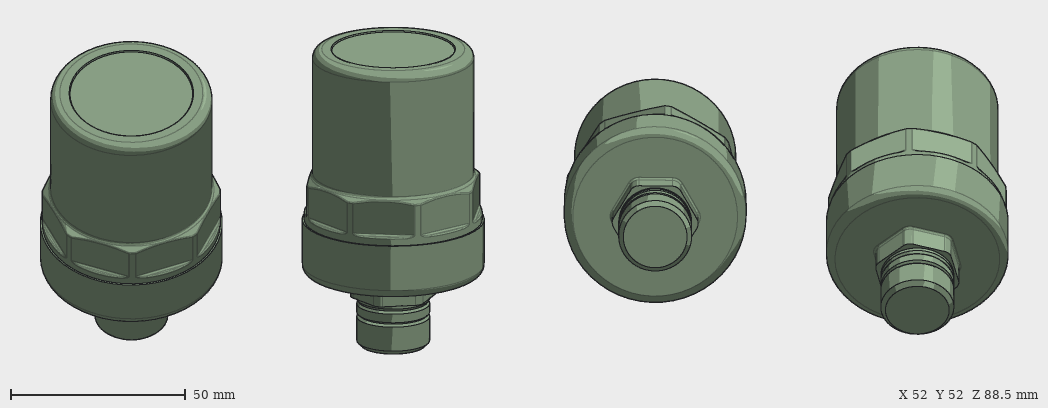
import cadquery as cq
import math

total_height = 88.5
flange_radius = 26.0

stem_radius = 10.4
stem_chamfer = 1.3
lower_groove_bottom = 8.5
lower_groove_height = 1.3
lower_groove_depth = 0.8
upper_groove_bottom = 12.4
upper_groove_height = 1.5
upper_groove_depth = 0.5

hexagon_sides = 6
hexagon_bottom = 15.0
hexagon_across_flats = 22.0
hexagon_corner_radius = 2.8
hexagon_root_fillet = 0.6

flange_bottom = 21.9
flange_top = 37.6
flange_fillet = 2.5

collar_radius = 25.5
nut_across_flats = 47.8
flat_count = 8
flat_bottom = 40.0
flat_root_fillet = 0.5
nut_edge_fillet = 0.4
nut_corner_top = 49.6

cap_radius = 23.1
cap_root_fillet = 1.1
cap_fillet = 2.65
recess_rim_radius = 17.8
recess_floor_radius = 17.5
recess_depth = 0.35

nut_chamfer_angle = math.radians(30)
nut_top = nut_corner_top + (collar_radius - cap_radius) * math.tan(nut_chamfer_angle)

tolerance = 0.01


def cylinder(radius, bottom, top):
    return cq.Workplane("XY").workplane(offset=bottom).circle(radius).extrude(top - bottom)


def fillet_level_edges(body, height, limit, radius):
    """Fillet the edges at one height that lie inside a square of half-width limit around the Z axis."""
    selection = cq.selectors.BoxSelector(
        (-limit, -limit, height - tolerance),
        (limit, limit, height + tolerance),
        boundingbox=True,
    )
    return body.edges(selection).fillet(radius)


def v_groove(bottom, height, depth):
    """Ring with a triangular section that cuts a V groove around the stem."""
    section = [
        (stem_radius, bottom),
        (stem_radius - depth, bottom + height / 2),
        (stem_radius, bottom + height),
    ]
    return cq.Workplane("XZ").polyline(section).close().revolve(360, (0, 0, 0), (0, 1, 0))


def make_stem():
    stem = cylinder(stem_radius, 0, flange_bottom).faces("<Z").chamfer(stem_chamfer)
    stem = stem.cut(v_groove(lower_groove_bottom, lower_groove_height, lower_groove_depth))
    return stem.cut(v_groove(upper_groove_bottom, upper_groove_height, upper_groove_depth))


def make_flange_with_hexagon():
    flange = cylinder(flange_radius, flange_bottom, flange_top).faces("<Z").edges().fillet(flange_fillet)
    hexagon = (
        cq.Workplane("XY")
        .workplane(offset=hexagon_bottom)
        .polygon(hexagon_sides, hexagon_across_flats, circumscribed=True)
        .extrude(flange_bottom - hexagon_bottom)
        .rotate((0, 0, 0), (0, 0, 1), 180 / hexagon_sides)
        .edges("|Z")
        .fillet(hexagon_corner_radius)
    )
    root_limit = hexagon_across_flats / math.sqrt(3)
    return fillet_level_edges(flange.union(hexagon), flange_bottom, root_limit, hexagon_root_fillet)


def outer_edges(nut):
    """Edges around the flats and between the collar and its chamfer."""
    chosen = []
    for edge in nut.edges().vals():
        middle = edge.positionAt(0.5)
        radius = math.hypot(middle.x, middle.y)
        is_seam = abs(middle.y) < tolerance and edge.geomType() == "LINE"
        on_collar = abs(radius - collar_radius) < tolerance and middle.z > flange_top + tolerance
        on_chamfer = middle.z > nut_corner_top + tolerance and radius > cap_radius + tolerance
        if (on_collar or on_chamfer) and not is_seam:
            chosen.append(edge)
    return chosen


def make_nut():
    blank = (
        cq.Workplane("XZ")
        .moveTo(0, flange_top)
        .lineTo(collar_radius, flange_top)
        .lineTo(collar_radius, nut_corner_top)
        .lineTo(cap_radius, nut_top)
        .lineTo(0, nut_top)
        .close()
        .revolve(360, (0, 0, 0), (0, 1, 0))
    )
    cutter_depth = flange_radius - nut_across_flats / 2
    cutter = (
        cq.Workplane("XY")
        .box(cutter_depth, flange_radius, total_height, centered=(False, True, False))
        .edges("<X and <Z")
        .fillet(flat_root_fillet)
        .translate((nut_across_flats / 2, 0, flat_bottom))
    )
    for i in range(flat_count):
        blank = blank.cut(cutter.rotate((0, 0, 0), (0, 0, 1), i * 360 / flat_count))
    return blank.newObject(outer_edges(blank)).fillet(nut_edge_fillet)


def make_cap():
    cap = cylinder(cap_radius, flange_top, total_height).faces(">Z").edges().fillet(cap_fillet)
    recess = (
        cq.Workplane("XY")
        .workplane(offset=total_height - recess_depth)
        .circle(recess_floor_radius)
        .workplane(offset=recess_depth)
        .circle(recess_rim_radius)
        .loft()
    )
    return cap.cut(recess)


def make_part():
    body = make_flange_with_hexagon().union(make_stem()).union(make_nut()).union(make_cap())
    return fillet_level_edges(body, nut_top, cap_radius + tolerance, cap_root_fillet)


result = make_part()